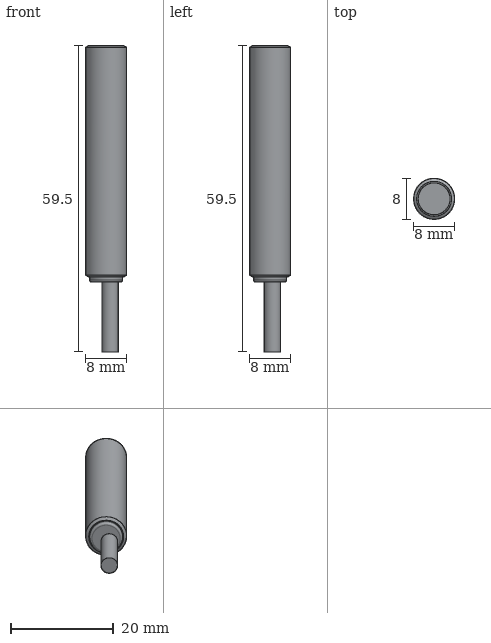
import cadquery as cq
import math

TOTAL_HEIGHT = 59.55
HOUSING_LENGTH = 44.95
HOUSING_BOTTOM = TOTAL_HEIGHT - HOUSING_LENGTH
PLUG_PROTRUSION = 1.0
PLUG_BOTTOM = HOUSING_BOTTOM - PLUG_PROTRUSION

HOUSING_RADIUS = 4.0
BEVEL_ANGLE = 30.0
BEVEL_HEIGHT = 0.345
BEVEL_WIDTH = BEVEL_HEIGHT / math.tan(math.radians(BEVEL_ANGLE))
RIM_RADIUS = HOUSING_RADIUS - BEVEL_WIDTH

FACE_RADIUS = 3.1
FACE_THICKNESS = 1.0

PLUG_RADIUS = 3.2
PLUG_FILLET = 0.5
PLUG_SEAT_DEPTH = PLUG_PROTRUSION

CABLE_RADIUS = 1.6
CABLE_X = 0.8
CABLE_Y = -0.4


def disc(radius, bottom, top, x=0.0, y=0.0):
    """Upright cylinder between two heights."""
    return cq.Workplane("XY", origin=(x, y, bottom)).circle(radius).extrude(top - bottom)


def make_housing():
    """Round bar with bevelled ends, a front recess for the face and a rear recess for the plug."""
    bevelled_profile = [
        (0, HOUSING_BOTTOM),
        (RIM_RADIUS, HOUSING_BOTTOM),
        (HOUSING_RADIUS, HOUSING_BOTTOM + BEVEL_HEIGHT),
        (HOUSING_RADIUS, TOTAL_HEIGHT - BEVEL_HEIGHT),
        (RIM_RADIUS, TOTAL_HEIGHT),
        (0, TOTAL_HEIGHT),
    ]
    bar = cq.Workplane("XZ").polyline(bevelled_profile).close().revolve(360, (0, 0), (0, 1))
    face_recess = disc(FACE_RADIUS, TOTAL_HEIGHT - FACE_THICKNESS, TOTAL_HEIGHT)
    plug_recess = disc(PLUG_RADIUS, HOUSING_BOTTOM, HOUSING_BOTTOM + PLUG_SEAT_DEPTH)
    return bar.cut(face_recess).cut(plug_recess)


def make_sensing_face():
    """Disc flush with the front rim of the housing."""
    return disc(FACE_RADIUS, TOTAL_HEIGHT - FACE_THICKNESS, TOTAL_HEIGHT)


def make_plug():
    """Disc seated in the rear of the housing, its exposed rim rounded."""
    plug = disc(PLUG_RADIUS, PLUG_BOTTOM, HOUSING_BOTTOM + PLUG_SEAT_DEPTH)
    return plug.faces("<Z").edges().fillet(PLUG_FILLET)


def make_cable():
    """Plain round cable that ends against the plug."""
    return disc(CABLE_RADIUS, 0, PLUG_BOTTOM, CABLE_X, CABLE_Y)


housing = make_housing()
sensing_face = make_sensing_face()
plug = make_plug()
cable = make_cable()

result = cq.Compound.makeCompound([housing.val(), sensing_face.val(), plug.val(), cable.val()])